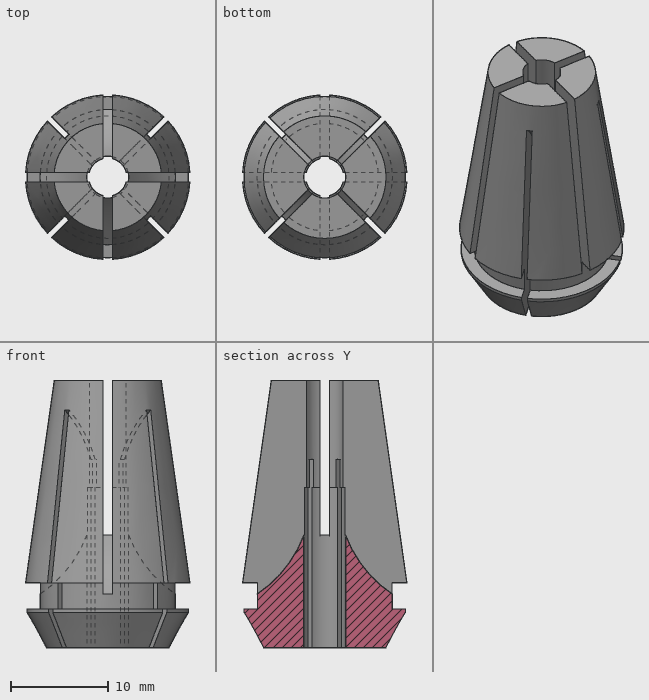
import cadquery as cq
import math

total_height = 27.5
nose_radius = 6.3
flange_radius = 8.3
flange_bottom = 3.65
flange_top = 4.02
groove_radius = 6.95
cone_bottom = 6.68
cone_bottom_radius = 8.47
cone_top_radius = 5.53

top_bore_radius = 1.95
lower_bore_radius = 2.15
bore_step_height = 16.5

blade_radius = 12.65
top_slot_width = 0.95
top_slot_outer_end = 5.53
top_slot_inner_end = 11.6
bottom_slot_width = 0.6
bottom_slot_outer_end = 24.48
bottom_slot_inner_end = 19.4
overshoot = 2.75

cone_slope = (cone_bottom_radius - cone_top_radius) / (total_height - cone_bottom)


def cone_radius_at(height):
    return cone_top_radius + cone_slope * (total_height - height)


def make_body():
    profile = [
        (0, 0),
        (nose_radius, 0),
        (flange_radius, flange_bottom),
        (flange_radius, flange_top),
        (groove_radius, flange_top),
        (groove_radius, cone_bottom),
        (cone_bottom_radius, cone_bottom),
        (cone_top_radius, total_height),
        (0, total_height),
    ]
    return cq.Workplane("XZ").polyline(profile).close().revolve(360, (0, 0, 0), (0, 1, 0))


def make_bore():
    top = cq.Workplane("XY").circle(top_bore_radius).extrude(total_height)
    lower = cq.Workplane("XY").circle(lower_bore_radius).extrude(bore_step_height)
    return top.union(lower)


def arc_middle(inner, outer):
    """Middle of the blade arc, bulging from the chord towards the axis and the outer end."""
    run = outer[0] - inner[0]
    rise = outer[1] - inner[1]
    chord = math.hypot(run, rise)
    sagitta = blade_radius - math.sqrt(blade_radius**2 - (chord / 2) ** 2)
    radius = (inner[0] + outer[0]) / 2 - sagitta * abs(rise) / chord
    height = (inner[1] + outer[1]) / 2 + sagitta * math.copysign(run, rise) / chord
    return radius, height


def make_slot(width, inner, outer, open_height, angle):
    """Radial slot from open_height to the arc joining the inner and outer (radius, height) points."""
    reach = cone_bottom_radius + overshoot
    return (
        cq.Workplane("XZ")
        .moveTo(0, open_height)
        .lineTo(0, inner[1])
        .lineTo(*inner)
        .threePointArc(arc_middle(inner, outer), outer)
        .lineTo(reach, outer[1])
        .lineTo(reach, open_height)
        .close()
        .extrude(width / 2, both=True)
        .rotate((0, 0, 0), (0, 0, 1), angle)
    )


top_slot_inner = (lower_bore_radius, top_slot_inner_end)
top_slot_outer = (groove_radius, top_slot_outer_end)
bottom_slot_inner = (lower_bore_radius, bottom_slot_inner_end)
bottom_slot_outer = (cone_radius_at(bottom_slot_outer_end), bottom_slot_outer_end)

result = make_body().cut(make_bore())
for quarter in range(4):
    top_angle = 90 * quarter
    bottom_angle = top_angle + 45
    top_slot = make_slot(
        top_slot_width, top_slot_inner, top_slot_outer, total_height + overshoot, top_angle
    )
    bottom_slot = make_slot(
        bottom_slot_width, bottom_slot_inner, bottom_slot_outer, -overshoot, bottom_angle
    )
    result = result.cut(top_slot).cut(bottom_slot)